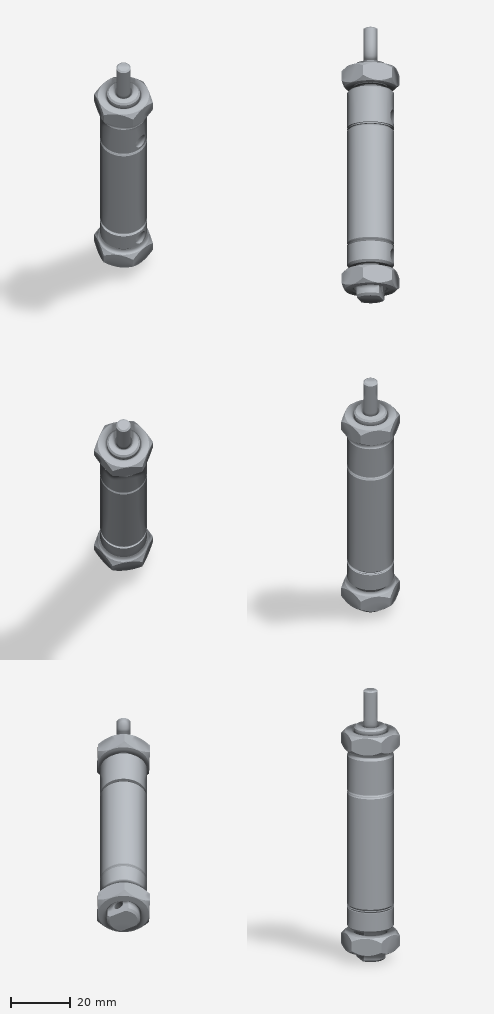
import cadquery as cq
import math


total_length = 95.25
lower_nut_bottom = 3.3
cap_bottom = 11.1
cap_top = 18.3
head_bottom = 60.2
head_top = 73.1
upper_nut_bottom = 74.5
collar_top = 82.6

body_radius = 15.8 / 2
thread_radius = 11.1 / 2
neck_radius = 8.3 / 2
end_chamfer = 0.8
collar_chamfer = 0.6
ridge_height = 0.6
ridge_inset = 0.6
clevis_thickness = 7.8

pin_hole_height = 4.3
pin_hole_diameter = 3.05
pin_countersink_diameter = 3.9
port_diameter = 5.0
port_depth = 3.8
lower_port_height = 14.7
upper_port_height = 63.5

rod_diameter = 4.9
rod_chamfer_width = 0.6
rod_chamfer_height = 0.4
rod_bottom = head_bottom
rod_countersink_diameter = 6.1

nut_across_flats = 17.5
nut_height = 6.4
nut_face_diameter = 17.2
nut_bore_mouth_diameter = 12.3


def housing_turning():
    """Solid of revolution from the clevis end up to the threaded collar."""
    ridge_radius = body_radius - ridge_inset
    tube_end_radius = body_radius - end_chamfer
    lower_ridge_top = cap_top + ridge_height
    upper_ridge_bottom = head_bottom - ridge_height
    outline = [
        (0, 0),
        (thread_radius - end_chamfer, 0),
        (thread_radius, end_chamfer),
        (thread_radius, cap_bottom),
        (body_radius - end_chamfer, cap_bottom),
        (body_radius, cap_bottom + end_chamfer),
        (body_radius, cap_top),
        (ridge_radius, cap_top),
        (body_radius, lower_ridge_top),
        (tube_end_radius, lower_ridge_top),
        (body_radius, lower_ridge_top + end_chamfer),
        (body_radius, upper_ridge_bottom - end_chamfer),
        (tube_end_radius, upper_ridge_bottom),
        (body_radius, upper_ridge_bottom),
        (ridge_radius, head_bottom),
        (body_radius, head_bottom),
        (body_radius, head_top - end_chamfer),
        (body_radius - end_chamfer, head_top),
        (neck_radius, head_top),
        (neck_radius, upper_nut_bottom),
        (thread_radius, upper_nut_bottom),
        (thread_radius, collar_top - collar_chamfer),
        (thread_radius - collar_chamfer, collar_top),
        (0, collar_top),
    ]
    return cq.Workplane("XZ").polyline(outline).close().revolve(360, (0, 0), (0, 1))


def clevis_side_cuts():
    """Material beside the two clevis flats, on -X and +X."""
    cut_width = 2 * thread_radius
    cut_offset = (clevis_thickness + cut_width) / 2
    return (
        cq.Workplane("XY")
        .pushPoints([(-cut_offset, 0), (cut_offset, 0)])
        .rect(cut_width, cut_width)
        .extrude(cap_bottom)
    )


def pin_hole():
    """Hole along X through the clevis, countersunk at both flats."""
    hole_radius = pin_hole_diameter / 2
    mouth_radius = pin_countersink_diameter / 2
    half_length = clevis_thickness / 2
    countersink_depth = mouth_radius - hole_radius
    outline = [
        (-half_length, 0),
        (-half_length, mouth_radius),
        (-half_length + countersink_depth, hole_radius),
        (half_length - countersink_depth, hole_radius),
        (half_length, mouth_radius),
        (half_length, 0),
    ]
    hole = cq.Workplane("XZ").polyline(outline).close().revolve(360, (0, 0), (1, 0))
    return hole.translate((0, 0, pin_hole_height))


def side_port(height):
    """Blind round port entering from +X at the given height."""
    return (
        cq.Workplane("YZ", origin=(body_radius - port_depth, 0, height))
        .circle(port_diameter / 2)
        .extrude(port_depth)
    )


def rod_hole():
    """Hole that the rod fills, with a countersunk mouth in the collar."""
    rod_radius = rod_diameter / 2
    mouth_radius = rod_countersink_diameter / 2
    countersink_depth = mouth_radius - rod_radius
    outline = [
        (0, rod_bottom),
        (rod_radius, rod_bottom),
        (rod_radius, collar_top - countersink_depth),
        (mouth_radius, collar_top),
        (0, collar_top),
    ]
    return cq.Workplane("XZ").polyline(outline).close().revolve(360, (0, 0), (0, 1))


def make_housing():
    housing = housing_turning().cut(clevis_side_cuts()).cut(pin_hole()).cut(rod_hole())
    for port_height in (lower_port_height, upper_port_height):
        housing = housing.cut(side_port(port_height))
    return housing


def make_rod():
    return (
        cq.Workplane("XY", origin=(0, 0, rod_bottom))
        .circle(rod_diameter / 2)
        .extrude(total_length - rod_bottom)
        .faces(">Z")
        .chamfer(rod_chamfer_height, rod_chamfer_width)
    )


def make_nut(bottom):
    """Hexagon nut with corners on the Y axis and all corners and bore mouths chamfered."""
    corner_radius = nut_across_flats / math.sqrt(3)
    corner_chamfer = corner_radius - nut_face_diameter / 2
    bore_chamfer = nut_bore_mouth_diameter / 2 - thread_radius
    hexagon = (
        cq.Workplane("XY")
        .polygon(6, 2 * corner_radius)
        .extrude(nut_height)
        .rotate((0, 0, 0), (0, 0, 1), 30)
    )
    envelope = (
        cq.Workplane("XY")
        .circle(corner_radius)
        .extrude(nut_height)
        .faces("<Z or >Z")
        .chamfer(corner_chamfer)
    )
    bore_outline = [
        (0, 0),
        (thread_radius + bore_chamfer, 0),
        (thread_radius, bore_chamfer),
        (thread_radius, nut_height - bore_chamfer),
        (thread_radius + bore_chamfer, nut_height),
        (0, nut_height),
    ]
    bore = cq.Workplane("XZ").polyline(bore_outline).close().revolve(360, (0, 0), (0, 1))
    return hexagon.intersect(envelope).cut(bore).translate((0, 0, bottom))


housing = make_housing()
rod = make_rod()
nuts = [make_nut(bottom) for bottom in (lower_nut_bottom, upper_nut_bottom)]

result = cq.Compound.makeCompound([housing.val(), rod.val(), *[nut.val() for nut in nuts]])